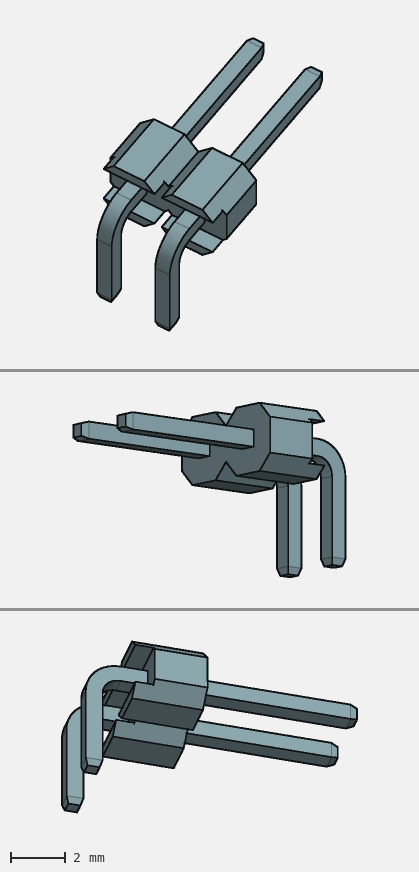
import cadquery as cq

pin_count = 2
pitch = 2.54
overall_height = 5.54

corner_cut = 0.6
core_length = 2.01
housing_length = 2.7
lip_thickness = 0.45

pin_width = 0.64
contact_reach = 6.0
leg_reach = 1.66
bend_outer_radius = 1.32
tip_length = 0.28
tip_width = 0.47

leg_drop = overall_height - pitch / 2
half_pin = pin_width / 2
bend_radius = bend_outer_radius - half_pin
leg_axis = -housing_length - leg_reach + half_pin


def housing_cell(x):
    """Octagonal cell with a recess between its top and bottom front lips."""
    cell = (
        cq.Workplane("XZ", origin=(x, 0, 0))
        .rect(pitch, pitch)
        .extrude(housing_length)
        .edges("|Y")
        .chamfer(corner_cut)
    )
    recess_depth = housing_length - core_length
    recess = cq.Workplane("XY").box(pitch, recess_depth, pitch - 2 * lip_thickness)
    return cell.cut(recess.translate((x, -core_length - recess_depth / 2, 0)))


def tapered_tip(plane):
    """Pyramidal pin end that narrows along the plane normal."""
    return (
        cq.Workplane(plane)
        .rect(pin_width, pin_width)
        .workplane(offset=tip_length)
        .rect(tip_width, tip_width)
        .loft(ruled=True)
    )


def bent_pin(x):
    """Straight contact, quarter-circle bend and downward leg."""
    contact_shoulder = contact_reach - tip_length
    leg_shoulder = -leg_drop + tip_length
    bend_start = leg_axis + bend_radius
    path = (
        cq.Workplane("YZ", origin=(x, 0, 0))
        .moveTo(contact_shoulder, 0)
        .lineTo(bend_start, 0)
        .radiusArc((leg_axis, -bend_radius), -bend_radius)
        .lineTo(leg_axis, leg_shoulder)
    )
    shank = (
        cq.Workplane("XZ", origin=(x, contact_shoulder, 0))
        .rect(pin_width, pin_width)
        .sweep(path)
    )
    contact_plane = cq.Plane((x, contact_shoulder, 0), (1, 0, 0), (0, 1, 0))
    leg_plane = cq.Plane((x, leg_axis, leg_shoulder), (1, 0, 0), (0, 0, -1))
    return shank.union(tapered_tip(contact_plane)).union(tapered_tip(leg_plane))


cell_positions = [(i - (pin_count - 1) / 2) * pitch for i in range(pin_count)]

result = housing_cell(cell_positions[0])
for x in cell_positions[1:]:
    result = result.union(housing_cell(x))
for x in cell_positions:
    result = result.union(bent_pin(x))